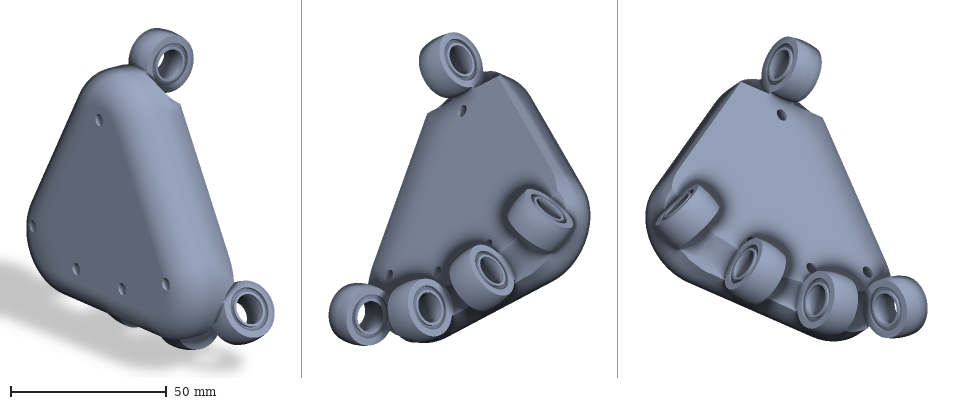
import cadquery as cq
import math

plate_thickness = 20.0
corner_radius = 20.0
front_fillet = plate_thickness / 2
corner_distance = 29.2

ring_radius = 10.0
ring_edge_radius = 9.5
ring_width = 9.8
ring_bore_radius = 5.0
groove_inner_radius = 5.8
groove_outer_radius = 7.2
groove_depth = 0.9
ring_height = ring_radius / 2
screw_spacing = 15.0
screw_diameter = 4.1

clearance_radius = 10.3
clearance_length = 39.9

top_lug_z = 49.2
side_lug_x = 42.7
side_lug_z = -24.8
lower_lug_x = 14.8
lower_lug_z = -34.6
lugs = [
    (0, top_lug_z, 0),
    (side_lug_x, side_lug_z, 150),
    (-side_lug_x, side_lug_z, -150),
    (lower_lug_x, lower_lug_z, 170),
    (-lower_lug_x, lower_lug_z, -170),
]


def place(shape, lug):
    """Move a shape modelled at the origin with its lug pointing to +Z to its place on the plate."""
    x, z, angle = lug
    return shape.rotate((0, 0, 0), (0, 1, 0), angle).translate((x, 0, z))


def make_plate():
    corners = []
    for angle in (90, 210, 330):
        direction = math.radians(angle)
        corners.append((corner_distance * math.cos(direction), corner_distance * math.sin(direction)))
    core = cq.Workplane("XZ").polyline(corners).close()
    plate = core.offset2D(corner_radius).extrude(plate_thickness)
    return plate.faces("<Y").edges().fillet(front_fillet)


def ring_axis_cylinder(radius, length):
    """Cylinder on the ring axis, centred on the ring."""
    cylinder = cq.Workplane("YZ").center(ring_height, 0).circle(radius).extrude(length)
    return cylinder.translate((-length / 2, 0, 0))


def make_ring():
    half_width = ring_width / 2
    ring = (
        cq.Workplane("XY")
        .moveTo(-half_width, 0)
        .lineTo(-half_width, ring_edge_radius)
        .threePointArc((0, ring_radius), (half_width, ring_edge_radius))
        .lineTo(half_width, 0)
        .close()
        .revolve(360, (0, 0, 0), (1, 0, 0))
        .translate((0, ring_height, 0))
    )
    groove = (
        cq.Workplane("YZ")
        .center(ring_height, 0)
        .circle(groove_outer_radius)
        .circle(groove_inner_radius)
        .extrude(groove_depth)
    )
    ring = ring.cut(groove.translate((half_width - groove_depth, 0, 0)))
    ring = ring.cut(groove.translate((-half_width, 0, 0)))
    return ring.cut(ring_axis_cylinder(ring_bore_radius, ring_width))


def make_saddle():
    """Fill between the ring and its clearance groove, on the side towards the plate centre."""
    depth = clearance_radius - ring_height
    block = (
        cq.Workplane("XY")
        .box(ring_width, depth, clearance_radius, centered=(True, False, False))
        .translate((0, -depth, -clearance_radius))
    )
    saddle = ring_axis_cylinder(clearance_radius, ring_width).intersect(block)
    return saddle.cut(ring_axis_cylinder(ring_edge_radius, ring_width))


def make_screw_hole():
    hole = cq.Workplane("XZ").center(0, -screw_spacing).circle(screw_diameter / 2)
    return hole.extrude(plate_thickness)


plate = make_plate()
result = plate
clearance = ring_axis_cylinder(clearance_radius, clearance_length)
for lug in lugs:
    result = result.cut(place(clearance, lug))

saddle = make_saddle()
ring = make_ring()
for lug in lugs:
    result = result.union(place(saddle, lug).intersect(plate))
    result = result.union(place(ring, lug))

screw_hole = make_screw_hole()
for lug in lugs:
    result = result.cut(place(screw_hole, lug))